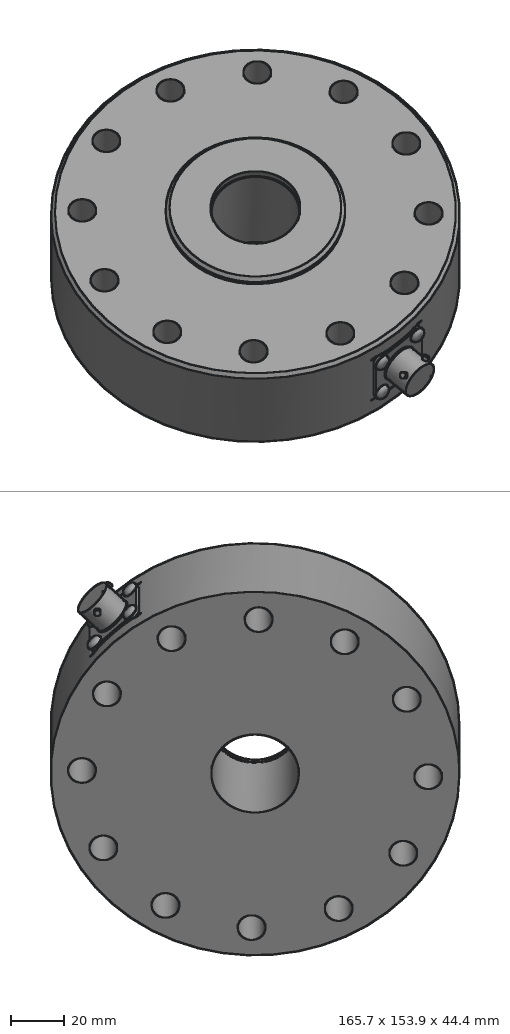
import cadquery as cq
import math

total_length = 165.7
total_height = 44.4

body_diameter = 153.9
body_height = 41.5
hub_diameter = 67.6
edge_chamfer = 1.5
bore_diameter = 33.0
bore_relief_diameter = 33.8
bore_relief_depth = 3.0

bolt_count = 12
bolt_diameter = 10.5
bolt_circle_diameter = 130.4

connector_height = 20.7
seat_depth = 1.2
seat_height = 25.5
flange_size = 24.2
flange_thickness = 1.5
flange_corner_radius = 2.8
barrel_diameter = 14.9
collar_diameter = 15.2
collar_thickness = 0.5

screw_head_diameter = 6.3
screw_head_height = 2.0
screw_head_rounding = 1.8

pin_diameter = 2.5
pin_tip_radius = 9.0
pin_end_distance = 2.8
pin_angles = (45, 135, 270)
dot_diameter = 0.8
dot_height = 0.2
dot_circle_radius = 6.8
dot_angle = -30

body_radius = body_diameter / 2
seat_x = body_radius - seat_depth
flange_front_x = seat_x + flange_thickness
connector_tip_x = total_length - body_radius
barrel_end_x = connector_tip_x - dot_height


def connector_plane(x):
    """Plane facing +X on the connector axis: local x is +Y, local y is +Z."""
    return cq.Workplane("YZ", origin=(x, 0, connector_height))


def make_body():
    body = cq.Workplane("XY").circle(body_radius).extrude(body_height)
    body = body.faces(">Z").edges().chamfer(edge_chamfer)
    hub = cq.Workplane("XY").circle(hub_diameter / 2).extrude(total_height)
    hub = hub.faces(">Z").edges().chamfer(edge_chamfer)
    return body.union(hub)


def cut_bore(body):
    bore = cq.Workplane("XY").circle(bore_diameter / 2).extrude(total_height)
    relief = (
        cq.Workplane("XY", origin=(0, 0, total_height - bore_relief_depth))
        .circle(bore_relief_diameter / 2)
        .extrude(bore_relief_depth)
    )
    return body.cut(bore).cut(relief)


def cut_bolt_holes(body):
    half_step = 180 / bolt_count
    holes = (
        cq.Workplane("XY")
        .polarArray(bolt_circle_diameter / 2, half_step, 360, bolt_count)
        .circle(bolt_diameter / 2)
        .extrude(body_height)
    )
    return body.cut(holes)


def cut_connector_seat(body):
    """Mill a flat pocket, open on both sides, for the connector flange."""
    seat = connector_plane(seat_x).rect(body_diameter, seat_height).extrude(seat_depth)
    return body.cut(seat)


def make_flange():
    flange = connector_plane(seat_x).rect(flange_size, flange_size).extrude(flange_thickness)
    return flange.edges("|X").fillet(flange_corner_radius)


def make_screw_head(y, z):
    """Rounded screw head standing on the flange at (y, z) from the connector axis."""
    head = connector_plane(flange_front_x).center(y, z).circle(screw_head_diameter / 2)
    return head.extrude(screw_head_height).faces(">X").edges().fillet(screw_head_rounding)


def make_pin(angle):
    """Bayonet pin pointing outwards from the barrel axis; angle is measured from +Y to +Z."""
    direction = cq.Vector(0, math.cos(math.radians(angle)), math.sin(math.radians(angle)))
    start = cq.Vector(barrel_end_x - pin_end_distance, 0, connector_height)
    return cq.Workplane(cq.Solid.makeCylinder(pin_diameter / 2, pin_tip_radius, start, direction))


def make_index_dot():
    angle = math.radians(dot_angle)
    center = (dot_circle_radius * math.cos(angle), dot_circle_radius * math.sin(angle))
    return connector_plane(barrel_end_x).center(*center).circle(dot_diameter / 2).extrude(dot_height)


def make_connector():
    barrel_length = barrel_end_x - seat_x
    barrel = connector_plane(seat_x).circle(barrel_diameter / 2).extrude(barrel_length)
    collar = connector_plane(flange_front_x).circle(collar_diameter / 2).extrude(collar_thickness)
    connector = make_flange().union(collar).union(barrel).union(make_index_dot())
    screw_offset = flange_size / 2 - flange_corner_radius
    for y_side in (-1, 1):
        for z_side in (-1, 1):
            connector = connector.union(make_screw_head(y_side * screw_offset, z_side * screw_offset))
    for angle in pin_angles:
        connector = connector.union(make_pin(angle))
    return connector


ring = cut_connector_seat(cut_bolt_holes(cut_bore(make_body())))
result = ring.union(make_connector())